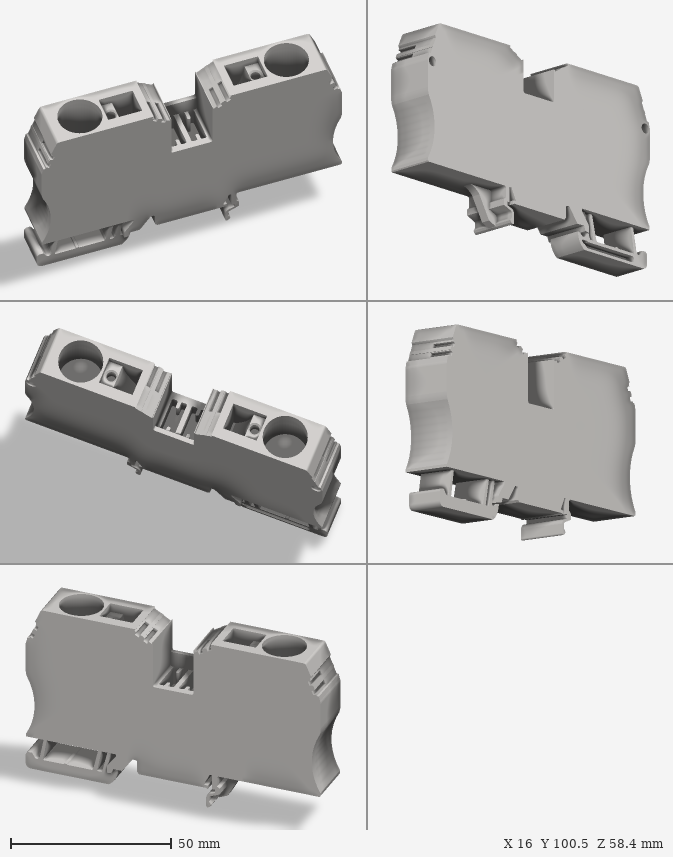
import cadquery as cq
import math


thickness = 16.0
half_length = 49.9
overall_length = 100.5
top_z = 58.4
underside_z = 11.9
foot_underside_z = 12.4
seat_z = 6.9
seat_end_y = -12.2
foot_width = 12.0
arm_outer_y = -19.2
brace_width = 3.0
foot_end_y = half_length - overall_length
half_thickness = thickness / 2
overlap = 0.2

channel_half = 6.8
channel_z = 44.2
channel_fillet = 0.6
channel_lip_z = 55.1
channel_lip_width = 0.2
channel_rim = 1.5
channel_recess = 5.1

inner_slope_start = (13.1, 57.8)
inner_slope_end = (7.2, 54.4)
outer_slope_start = (46.2, 53.3)
outer_slope_end = (48.6, 47.7)
land_centre = 3.1
land_width = 1.2
land_height = 0.15
groove_pitch = 3.3
groove_width = 1.5
groove_depth = 1.1
groove_start_x = 0.4

shoulder_radius = 2.5

entry_y = 34.3
entry_diameter = 14.1
entry_depth = 16.1
pocket_inner_y = 15.2
pocket_outer_y = 26.4
pocket_width = 8.8
shelf_y = 22.0
shelf_depth = 3.0
ramp_radius = 24.6
ramp_run = 6.1
ramp_drop = 13.5
screw_y = 24.0
screw_diameter = 4.2
screw_bore_diameter = 3.1
screw_chamfer_depth = 0.5
screw_bore_depth = 4.0

pin_y = 47.8
pin_z = 45.1
pin_diameter = 3.2
pin_depth = 3.0

shaft_y = 3.3
shaft_length_y = 5.0
shaft_end_x = 5.7
shaft_depth = 6.0
shaft_corner = 0.5
tab_width = 1.1
tab_reach_x = 3.3

slot_depth = 3.0


def side_prism(outline, width):
    """Extrude a closed YZ wire, centred on X = 0."""
    return outline.close().extrude(width / 2, both=True)


def profile(points):
    return cq.Workplane("YZ").polyline(points)


def both_ends(solid):
    return solid.union(solid.mirror("XZ"))


def along_slope(start, end, distance, lift=0.0):
    """Point at a distance down a slope, lifted off it towards the outside (+Z)."""
    length = math.dist(start, end)
    step_y = (end[0] - start[0]) / length
    step_z = (end[1] - start[1]) / length
    outward = 1 if step_y > 0 else -1
    return (
        start[0] + step_y * distance - outward * step_z * lift,
        start[1] + step_z * distance + outward * step_y * lift,
    )


def slope_rectangle(start, end, centre, width, low, high):
    near = centre - width / 2
    far = centre + width / 2
    return profile([
        along_slope(start, end, near, low),
        along_slope(start, end, far, low),
        along_slope(start, end, far, high),
        along_slope(start, end, near, high),
    ])


def housing_half():
    """Half of the housing for Y >= 0, without the rail fittings."""
    outline = (
        cq.Workplane("YZ")
        .moveTo(0, underside_z)
        .lineTo(0, channel_z)
        .lineTo(channel_half - channel_fillet, channel_z)
        .radiusArc((channel_half, channel_z + channel_fillet), -channel_fillet)
        .lineTo(channel_half, channel_lip_z)
        .lineTo(channel_half + channel_lip_width, channel_lip_z)
        .lineTo(*inner_slope_end)
        .lineTo(*inner_slope_start)
        .lineTo(12.7, top_z)
        .lineTo(44.2, top_z)
        .threePointArc((44.6, 58.2), (44.9, 57.8))
        .lineTo(46.7, 54.0)
        .lineTo(*outer_slope_start)
        .lineTo(*outer_slope_end)
        .lineTo(49.3, 47.7)
        .lineTo(49.7, 46.0)
        .radiusArc((half_length, 45.1), shoulder_radius)
        .lineTo(half_length, 36.3)
        .threePointArc((49.8, 35.1), (49.5, 33.9))
        .threePointArc((46.9, 23.6), (49.8, 13.3))
        .lineTo(49.8, 12.3)
        .lineTo(49.5, underside_z)
    )
    half = side_prism(outline, thickness)
    groove_length = half_thickness - groove_start_x
    for start, end in (
        (inner_slope_start, inner_slope_end),
        (outer_slope_start, outer_slope_end),
    ):
        land = slope_rectangle(start, end, land_centre, land_width, -land_height, land_height)
        half = half.union(side_prism(land, thickness))
        for offset in (-groove_pitch / 2, groove_pitch / 2):
            groove = slope_rectangle(
                start, end, land_centre + offset, groove_width, -groove_depth, groove_depth
            )
            cutter = groove.close().extrude(groove_length).translate((groove_start_x, 0, 0))
            half = half.cut(cutter)
    return half


def tower_cavities():
    """Conductor entry, screw pocket with concave ramp, and screw seat of one tower."""
    shelf_z = top_z - shelf_depth
    floor_z = shelf_z - ramp_drop
    entry = (
        cq.Workplane("XY", origin=(0, entry_y, top_z))
        .circle(entry_diameter / 2)
        .extrude(-entry_depth)
    )
    pocket = side_prism(
        cq.Workplane("YZ")
        .moveTo(pocket_outer_y, top_z)
        .lineTo(pocket_outer_y, shelf_z)
        .lineTo(shelf_y, shelf_z)
        .radiusArc((shelf_y - ramp_run, floor_z), ramp_radius)
        .lineTo(pocket_inner_y, floor_z)
        .lineTo(pocket_inner_y, top_z),
        pocket_width,
    )
    screw_plane = cq.Workplane("XY", origin=(0, screw_y, shelf_z))
    bore = screw_plane.circle(screw_bore_diameter / 2).extrude(-screw_bore_depth)
    seat = (
        screw_plane.circle(screw_diameter / 2)
        .workplane(offset=-screw_chamfer_depth)
        .circle(screw_bore_diameter / 2)
        .loft()
    )
    return entry.union(pocket).union(bore).union(seat)


def pin_hole():
    return (
        cq.Workplane("YZ", origin=(-half_thickness, pin_y, pin_z))
        .circle(pin_diameter / 2)
        .extrude(pin_depth)
    )


def channel_floor():
    """Lowered floor of the channel, leaving a rim along the -X side."""
    width = thickness - channel_rim
    return (
        cq.Workplane("XY")
        .box(width, 2 * channel_half, channel_recess + channel_fillet, centered=(False, True, False))
        .edges("|X and <Z")
        .fillet(channel_fillet)
        .translate((channel_rim - half_thickness, 0, channel_z - channel_recess))
    )


def jumper_shaft():
    """Shaft in the channel floor, pinched by a tab from each end."""
    floor_z = channel_z - channel_recess
    start_x = channel_rim - half_thickness
    height = 2 * shaft_depth
    shaft = (
        cq.Workplane("XY")
        .box(shaft_end_x - start_x, shaft_length_y, height, centered=(False, True, True))
        .translate((start_x, 0, 0))
    )
    for tab_start, tab_end in ((start_x, -tab_reach_x), (tab_reach_x, shaft_end_x)):
        tab = (
            cq.Workplane("XY")
            .box(tab_end - tab_start, tab_width, height, centered=(False, True, True))
            .translate((tab_start, 0, 0))
        )
        shaft = shaft.cut(tab)
    shaft = shaft.edges("|Z").fillet(shaft_corner)
    return shaft.translate((0, shaft_y, floor_z))


def rail_seat():
    """Middle block resting on the rail, with a small catch on its +Y side."""
    outline = profile([
        (12.3, underside_z),
        (11.7, 10.6),
        (10.4, 8.0),
        (11.7, 7.8),
        (11.7, 6.6),
        (11.1, seat_z),
        (-11.5, seat_z),
        (seat_end_y, 7.6),
        (seat_end_y, underside_z),
    ])
    return side_prism(outline, thickness)


def slanted_arm():
    """Full-width arm reaching down to the rail foot, ending in a catch."""
    arm_root_z = foot_underside_z + overlap
    outline = (
        cq.Workplane("YZ")
        .moveTo(seat_end_y, arm_root_z)
        .lineTo(seat_end_y, 11.1)
        .threePointArc((-12.4, 11.6), (-12.9, 11.8))
        .lineTo(-13.7, 11.8)
        .lineTo(-17.3, seat_z)
        .lineTo(-20.3, seat_z)
        .lineTo(-20.9, 5.3)
        .lineTo(-22.4, 5.2)
        .lineTo(-22.4, 6.9)
        .threePointArc((-22.3, 7.6), (-22.0, 8.1))
        .lineTo(-19.4, 11.5)
        .lineTo(arm_outer_y, arm_root_z)
    )
    return side_prism(outline, thickness)


def spring_hook():
    """Full-width spring strip that grips the +Y rail edge."""
    outline = (
        cq.Workplane("YZ")
        .moveTo(13.2, underside_z)
        .lineTo(13.2, seat_z)
        .lineTo(14.2, seat_z)
        .lineTo(14.2, 5.7)
        .lineTo(12.9, 5.3)
        .threePointArc((11.7, 4.7), (11.2, 3.6))
        .lineTo(11.2, 0.6)
        .threePointArc((11.4, 0.2), (11.8, 0.1))
        .lineTo(12.5, 0.5)
        .lineTo(12.9, 1.2)
        .lineTo(12.1, 2.3)
        .lineTo(12.1, 3.4)
        .threePointArc((12.2, 3.9), (12.7, 4.3))
        .lineTo(15.7, 5.5)
        .lineTo(15.7, 7.5)
        .lineTo(14.8, 8.2)
        .lineTo(14.8, 11.1)
        .threePointArc((15.0, 11.7), (15.6, underside_z))
    )
    return side_prism(outline, thickness)


def hook_brace():
    """Narrower web stiffening the spring hook from behind."""
    outline = (
        cq.Workplane("YZ")
        .moveTo(24.0, underside_z)
        .threePointArc((21.6, 10.9), (20.0, 9.4))
        .lineTo(15.7, 1.8)
        .lineTo(12.8, 0.6)
        .lineTo(12.1, 2.5)
        .lineTo(12.3, 4.1)
        .lineTo(15.3, 5.5)
        .lineTo(15.3, 7.5)
        .lineTo(14.4, 8.2)
        .lineTo(14.4, underside_z)
    )
    return side_prism(outline, brace_width)


def rail_foot():
    """Foot plate hung from the housing on three slanted struts."""
    plate_z = 3.9
    lip_z = 5.7
    toe_radius = 1.7
    lip_radius = 1.1
    outline = (
        cq.Workplane("YZ")
        .moveTo(-19.6, 5.4)
        .threePointArc((-20.4, 2.3), (-22.5, 0))
        .lineTo(foot_end_y + toe_radius, 0)
        .radiusArc((foot_end_y, toe_radius), toe_radius)
        .lineTo(foot_end_y, lip_z - lip_radius)
        .radiusArc((foot_end_y + lip_radius, lip_z), lip_radius)
        .lineTo(-48.6, lip_z)
        .lineTo(-47.6, 4.2)
        .threePointArc((-47.0, plate_z), (-46.2, 4.2))
        .lineTo(-45.6, 4.7)
        .lineTo(-44.5, plate_z)
        .lineTo(-37.8, plate_z)
        .lineTo(-37.6, 4.2)
        .lineTo(-36.8, 4.2)
        .lineTo(-36.6, plate_z)
        .lineTo(-24.1, plate_z)
        .lineTo(-23.2, 5.0)
        .threePointArc((-22.3, 4.2), (-21.3, 4.5))
        .lineTo(-20.6, 5.2)
    )
    foot = side_prism(outline, foot_width)
    strut_top_z = foot_underside_z + overlap
    strut_foot_z = plate_z - overlap
    flare = 0.6
    for top_y, head_width, foot_y, base_width in (
        (-22.2, 1.0, -24.0, 1.2),
        (-25.3, 1.1, -27.1, 1.1),
        (-43.8, 1.0, -45.3, 1.0),
    ):
        strut = profile([
            (top_y + head_width / 2, strut_top_z),
            (foot_y + base_width / 2, strut_foot_z),
            (foot_y - base_width / 2 - flare, strut_foot_z),
            (foot_y - base_width / 2, strut_foot_z + 2 * flare),
            (top_y - head_width / 2, strut_top_z),
        ])
        foot = foot.union(side_prism(strut, foot_width))
    return foot.cut(foot_slot())


def foot_slot():
    """Blind slot along the side of the foot plate."""
    slot_top = 2.9
    slot_bottom = 0.9
    radius = (slot_top - slot_bottom) / 2
    far_y = -43.8
    return (
        cq.Workplane("YZ", origin=(-foot_width / 2, 0, 0))
        .moveTo(-21.8, 3.2)
        .lineTo(-23.9, 3.2)
        .lineTo(-24.3, slot_top)
        .lineTo(far_y, slot_top)
        .radiusArc((far_y, slot_bottom), -radius)
        .lineTo(-23.8, slot_bottom)
        .lineTo(-22.7, 1.9)
        .lineTo(-22.1, 2.0)
        .lineTo(-21.4, 2.8)
        .close()
        .extrude(slot_depth)
    )


def foot_clearance():
    """Shallow step that raises the housing underside above the rail foot."""
    return (
        cq.Workplane("XY")
        .box(thickness, half_length, 2 * (foot_underside_z - underside_z))
        .translate((0, arm_outer_y - half_length / 2, underside_z))
    )


cavities = tower_cavities().union(pin_hole())
body = both_ends(housing_half())
body = body.cut(both_ends(cavities)).cut(channel_floor())
body = body.cut(both_ends(jumper_shaft()))
body = body.cut(foot_clearance())
for fitting in (rail_seat(), slanted_arm(), spring_hook(), hook_brace(), rail_foot()):
    body = body.union(fitting)
result = body